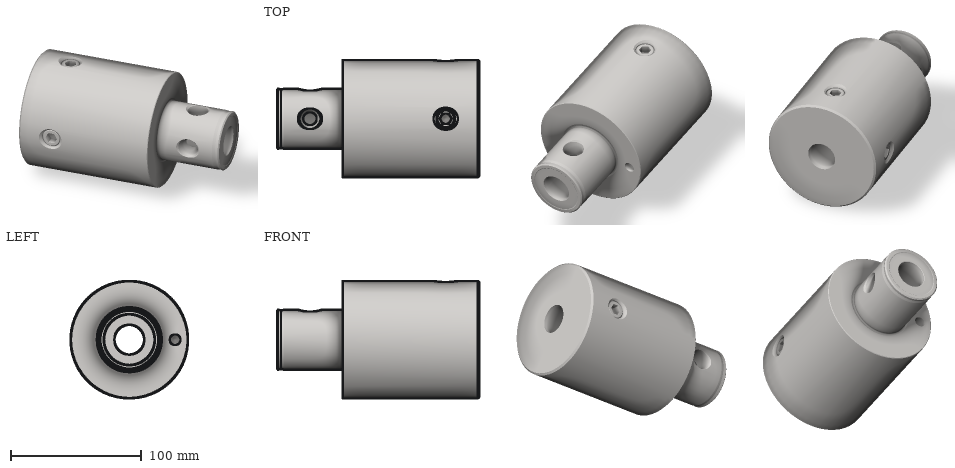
import cadquery as cq
import math

total_length = 155.0
shank_length = 50.0
body_radius = 90.0 / 2
shank_radius = 46.0 / 2
bore_radius = 22.5 / 2

front_chamfer = 0.5
rear_chamfer = 1.4
shank_chamfer = 1.0
bore_chamfer = 0.3
groove_width = 4.6
groove_depth = 0.5
groove_center = 3.3

undercut_radius = 45.5 / 2
undercut_fillet_radius = 47.0 / 2
undercut_floor_radius = 24.0
undercut_rim_radius = 25.0
undercut_length = 1.5
shoulder_recess = 0.3

end_recess_rim_radius = 19.7
end_recess_floor_radius = 19.2
end_recess_depth = 0.3

seat_x = 25.3
seat_mouth_radius = 9.3
seat_top_radius = 16.0 / 2
seat_half_angle = 15.0

locating_radius = 8.2 / 2
locating_offset = 35.0
locating_depth = 12.4

screw_x = 129.1
screw_radius = 14.4 / 2
screw_mouth_radius = 9.3
screw_top = 42.8
screw_length = 23.2
screw_chamfer = 0.8
hex_across_flats = 8.0
hex_depth = 6.2

drill_half_angle = 59.0

side_angles = [0, -90]


def drill_tip_height(radius):
    return radius / math.tan(math.radians(drill_half_angle))


def revolve_about_x(outline):
    return outline.close().revolve(360, (0, 0, 0), (1, 0, 0))


def turn_to_side(shape, angle):
    return shape.rotate((0, 0, 0), (1, 0, 0), angle)


def make_turned_blank():
    """Shank, undercut shoulder and main body as one profile."""
    groove_start = groove_center - groove_width / 2
    groove_end = groove_center + groove_width / 2
    undercut_start = shank_length - undercut_length
    recess_x = shank_length + shoulder_recess
    fillet = undercut_fillet_radius - undercut_radius
    fillet_mid = fillet * (1 - math.sqrt(0.5))
    return revolve_about_x(
        cq.Workplane("XY")
        .moveTo(0, 0)
        .lineTo(0, shank_radius - shank_chamfer)
        .lineTo(groove_start, shank_radius)
        .lineTo(groove_center, shank_radius - groove_depth)
        .lineTo(groove_end, shank_radius)
        .lineTo(undercut_start, shank_radius)
        .lineTo(recess_x - fillet, undercut_radius)
        .threePointArc(
            (recess_x - fillet_mid, undercut_radius + fillet_mid),
            (recess_x, undercut_fillet_radius),
        )
        .lineTo(recess_x, undercut_floor_radius)
        .lineTo(shank_length, undercut_rim_radius)
        .lineTo(shank_length, body_radius - front_chamfer)
        .lineTo(shank_length + front_chamfer, body_radius)
        .lineTo(total_length - rear_chamfer, body_radius)
        .lineTo(total_length, body_radius - rear_chamfer)
        .lineTo(total_length, 0)
    )


def make_bore():
    """Through bore with its chamfered rim and the shallow end-face recess."""
    rim_radius = bore_radius + bore_chamfer
    return revolve_about_x(
        cq.Workplane("XY")
        .moveTo(0, 0)
        .lineTo(0, end_recess_rim_radius)
        .lineTo(end_recess_depth, end_recess_floor_radius)
        .lineTo(end_recess_depth, rim_radius)
        .lineTo(end_recess_depth + bore_chamfer, bore_radius)
        .lineTo(total_length, bore_radius)
        .lineTo(total_length, 0)
    )


def make_clamping_seat():
    """Countersunk tapered hole from the +Z side of the shank into the bore."""
    taper_top = shank_radius - (seat_mouth_radius - seat_top_radius)
    tip_radius = seat_top_radius - taper_top * math.tan(math.radians(seat_half_angle))
    return (
        cq.Workplane("XZ")
        .moveTo(0, 0)
        .lineTo(tip_radius, 0)
        .lineTo(seat_top_radius, taper_top)
        .lineTo(seat_mouth_radius, shank_radius)
        .lineTo(0, shank_radius)
        .close()
        .revolve(360, (0, 0, 0), (0, 1, 0))
        .translate((seat_x, 0, 0))
    )


def make_locating_hole():
    hole_end = shank_length + locating_depth
    hole = revolve_about_x(
        cq.Workplane("XY")
        .moveTo(shank_length, 0)
        .lineTo(shank_length, locating_radius)
        .lineTo(hole_end, locating_radius)
        .lineTo(hole_end + drill_tip_height(locating_radius), 0)
    )
    return hole.translate((0, -locating_offset, 0))


def make_screw_hole():
    """Blind screw hole with a 45 degree countersink at the body surface."""
    countersink_floor = body_radius - (screw_mouth_radius - screw_radius)
    hole_floor = screw_top - screw_length
    return (
        cq.Workplane("XZ")
        .moveTo(0, hole_floor)
        .lineTo(screw_radius, hole_floor)
        .lineTo(screw_radius, countersink_floor)
        .lineTo(screw_mouth_radius, body_radius)
        .lineTo(0, body_radius)
        .close()
        .revolve(360, (0, 0, 0), (0, 1, 0))
        .translate((screw_x, 0, 0))
    )


def make_housing():
    body = make_turned_blank().cut(make_bore()).cut(make_locating_hole())
    for angle in side_angles:
        body = body.cut(turn_to_side(make_clamping_seat(), angle))
        body = body.cut(turn_to_side(make_screw_hole(), angle))
    return body


def make_set_screw():
    """Chamfered screw with a hexagon socket that ends in a drill point."""
    socket_floor = screw_top - hex_depth
    drill_radius = hex_across_flats / 2
    hex_across_corners = hex_across_flats / math.cos(math.radians(30))
    shaft = (
        cq.Workplane("XY", origin=(screw_x, 0, screw_top))
        .circle(screw_radius)
        .extrude(-screw_length)
        .faces(">Z")
        .chamfer(screw_chamfer)
    )
    socket = (
        cq.Workplane("XY", origin=(screw_x, 0, socket_floor))
        .polygon(6, hex_across_corners)
        .extrude(hex_depth)
    )
    drill_point = cq.Workplane(
        cq.Solid.makeCone(
            drill_radius,
            0,
            drill_tip_height(drill_radius),
            pnt=cq.Vector(screw_x, 0, socket_floor),
            dir=cq.Vector(0, 0, -1),
        )
    )
    return cq.Workplane(shaft.cut(socket).cut(drill_point).solids().val())


housing = make_housing()
set_screws = [turn_to_side(make_set_screw(), angle).val() for angle in side_angles]

result = cq.Compound.makeCompound([housing.val(), *set_screws])